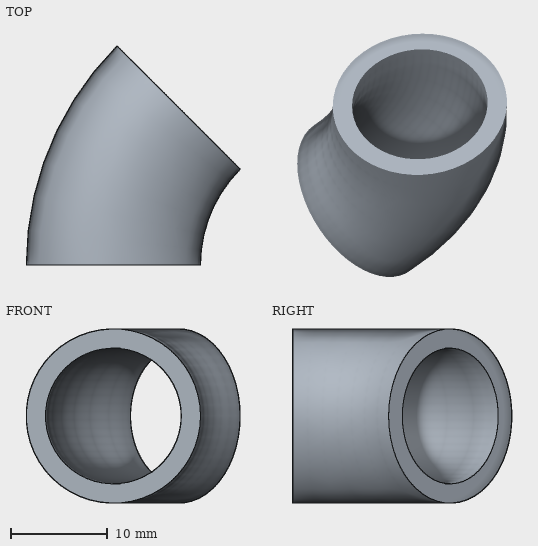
import cadquery as cq

outer_diameter = 18.0
inner_diameter = 14.0
bend_radius = 23.0
bend_angle = 45.0


def make_elbow():
    """Revolve the tube's ring section about the bend axis, parallel to Z at X = bend_radius."""
    ring = (
        cq.Workplane("XZ")
        .circle(outer_diameter / 2)
        .circle(inner_diameter / 2)
    )
    return ring.revolve(bend_angle, (bend_radius, 0, 0), (bend_radius, -1, 0))


result = make_elbow()